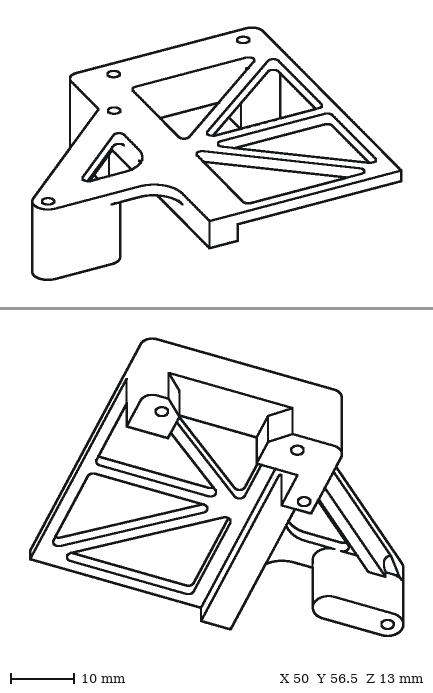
import cadquery as cq
import math

PLATE_LENGTH = 50.0
PLATE_WIDTH = 34.0
PLATE_THICKNESS = 2.0
FRONT_RAIL_DEPTH = 5.05
FRONT_RAIL_WIDTH = 5.05
CORNER_RADIUS = 2.0
HEIGHT = 13.0
TOTAL_WIDTH = 56.5
HOLE_DIAMETER = 2.0

BAR_WIDTH = 8.0
GAP_DEPTH = 7.0
GAP_FRONT = 12.0
GAP_REAR = 27.0
GAP_CHAMFER = 3.0
FOOT_LENGTH = 15.05
FOOT_FILLET = 1.5

WINDOW_FRONT = 7.4
FRAME_WIDTH = 2.0
WINDOW_REAR = PLATE_WIDTH - FRAME_WIDTH
WINDOW_CENTER = (BAR_WIDTH + PLATE_LENGTH - FRAME_WIDTH) / 2
WINDOW_RIB = 2.0
WINDOW_RADIUS = 0.9

ARM_START = 11.45
ARM_WIDTH = 5.05
ARM_RADIUS = 5.05
TIP_RADIUS = ARM_WIDTH / 2
TIP_X = 33.0
TIP_Y = PLATE_WIDTH + TIP_RADIUS - TOTAL_WIDTH
POST_LENGTH = 15.05

EDGE_INSET = 1.5
STIFFENER_WIDTH = 2.0
COVE_RADIUS = 2.0
GUSSET_SIZE = 2.0

BAR_HOLE_X = 3.0
BAR_HOLE_YS = (7.0, 30.0)
FOOT_HOLE = (13.0, 2.0)

tip_distance = math.hypot(TIP_X - ARM_START, TIP_Y)
slope_angle = math.atan2(TIP_Y, TIP_X - ARM_START) - math.asin(TIP_RADIUS / tip_distance)
slope_length = math.sqrt(tip_distance**2 - TIP_RADIUS**2)
ARM_LEFT = TIP_X - TIP_RADIUS
ARM_RIGHT = TIP_X + TIP_RADIUS


def slope_point(distance, inset):
    """Point at a distance along the sloping edge and an inset into the arm."""
    return (
        ARM_START + distance * math.cos(slope_angle) - inset * math.sin(slope_angle),
        distance * math.sin(slope_angle) + inset * math.cos(slope_angle),
    )


def slope_x_at(y, inset):
    """X where a line parallel to the sloping edge crosses the given Y."""
    return ARM_START - inset / math.sin(slope_angle) + y / math.tan(slope_angle)


def slope_y_at(x, inset):
    """Y where a line parallel to the sloping edge crosses the given X."""
    return (x - slope_x_at(0, inset)) * math.tan(slope_angle)


def block(x_min, x_max, y_min, y_max, depth):
    """Upright block hanging down from the top face."""
    return cq.Workplane("XY").box(x_max - x_min, y_max - y_min, depth, centered=False).translate(
        (x_min, y_min, -depth)
    )


def make_plate():
    plate = block(0, PLATE_LENGTH, 0, PLATE_WIDTH, PLATE_THICKNESS)
    rail = block(0, PLATE_LENGTH, 0, FRONT_RAIL_WIDTH, FRONT_RAIL_DEPTH)
    bar = block(0, BAR_WIDTH, 0, PLATE_WIDTH, HEIGHT)
    foot = block(0, FOOT_LENGTH, 0, FRONT_RAIL_WIDTH, HEIGHT)
    foot_fillet = (
        cq.Workplane("XZ")
        .moveTo(FOOT_LENGTH, -FRONT_RAIL_DEPTH)
        .lineTo(FOOT_LENGTH + FOOT_FILLET, -FRONT_RAIL_DEPTH)
        .radiusArc((FOOT_LENGTH, -FRONT_RAIL_DEPTH - FOOT_FILLET), -FOOT_FILLET)
        .close()
        .extrude(-FRONT_RAIL_WIDTH)
    )
    body = plate.union(rail).union(bar).union(foot)
    body = body.edges("|Z and <X").fillet(CORNER_RADIUS)
    return body.union(foot_fillet)


def make_gap():
    """Opening between the feet, flared at the outer left face."""
    return (
        cq.Workplane("XY")
        .workplane(offset=-HEIGHT)
        .polyline([
            (0, GAP_FRONT - GAP_CHAMFER),
            (GAP_CHAMFER, GAP_FRONT),
            (BAR_WIDTH, GAP_FRONT),
            (BAR_WIDTH, GAP_REAR),
            (GAP_CHAMFER, GAP_REAR),
            (0, GAP_REAR + GAP_CHAMFER),
        ])
        .close()
        .extrude(HEIGHT - GAP_DEPTH)
    )


def triangle_cutter(points):
    return (
        cq.Workplane("XY")
        .workplane(offset=-HEIGHT)
        .polyline(points)
        .close()
        .extrude(HEIGHT)
        .edges("|Z")
        .fillet(WINDOW_RADIUS)
    )


def make_windows():
    half_length = WINDOW_CENTER - BAR_WIDTH
    pitch = (WINDOW_REAR - WINDOW_FRONT) / half_length
    half_rib = WINDOW_RIB / 2
    shift = half_rib * math.hypot(1, pitch)
    inner_x = WINDOW_CENTER - half_rib
    rear_window = triangle_cutter([
        (inner_x, WINDOW_REAR),
        (BAR_WIDTH + shift / pitch, WINDOW_REAR),
        (inner_x, WINDOW_FRONT + shift + pitch * half_rib),
    ])
    front_window = triangle_cutter([
        (BAR_WIDTH, WINDOW_FRONT),
        (WINDOW_CENTER - shift / pitch, WINDOW_FRONT),
        (BAR_WIDTH, WINDOW_REAR - shift),
    ])
    left_pair = rear_window.union(front_window)
    return left_pair.union(left_pair.mirror("YZ", (WINDOW_CENTER, 0, 0)))


def make_arm_outline(depth):
    return (
        cq.Workplane("XY")
        .moveTo(ARM_START, 0)
        .lineTo(*slope_point(slope_length, 0))
        .threePointArc((TIP_X, TIP_Y - TIP_RADIUS), (ARM_RIGHT, TIP_Y))
        .lineTo(ARM_RIGHT, -ARM_RADIUS)
        .radiusArc((ARM_RIGHT + ARM_RADIUS, 0), ARM_RADIUS)
        .close()
        .extrude(-depth)
    )


def make_arm_window():
    corners = [
        (slope_x_at(0, ARM_WIDTH), 0),
        (ARM_LEFT, 0),
        (ARM_LEFT, slope_y_at(ARM_LEFT, ARM_WIDTH)),
    ]
    window = cq.Workplane("XY").polyline(corners).close().extrude(-FRONT_RAIL_DEPTH)
    window = window.edges("|Z and (>Y and >X)").fillet(ARM_RADIUS)
    return window.edges("|Z and (<X or <Y)").fillet(WINDOW_RADIUS)


def make_cove():
    """Cove fillet between the arm's underside and the stiffener."""
    section_plane = cq.Plane(
        origin=(*slope_point(0, EDGE_INSET), -PLATE_THICKNESS),
        xDir=(math.sin(slope_angle), -math.cos(slope_angle), 0),
        normal=(math.cos(slope_angle), math.sin(slope_angle), 0),
    )
    square = cq.Workplane(section_plane).rect(COVE_RADIUS, COVE_RADIUS, centered=False).extrude(slope_length)
    hollow = (
        cq.Workplane(section_plane)
        .center(COVE_RADIUS, COVE_RADIUS)
        .circle(COVE_RADIUS)
        .extrude(slope_length)
    )
    return square.cut(hollow)


def make_post_gusset():
    """Thicker arm beside the post, with a sloping face on the left."""
    bottom = -PLATE_THICKNESS - GUSSET_SIZE
    gusset_start = ARM_LEFT - GUSSET_SIZE
    rear = slope_y_at(gusset_start, EDGE_INSET)
    return (
        cq.Workplane("XZ", origin=(0, rear, 0))
        .polyline([
            (gusset_start, -PLATE_THICKNESS),
            (ARM_LEFT, bottom),
            (TIP_X, bottom),
            (TIP_X, -PLATE_THICKNESS),
        ])
        .close()
        .extrude(rear - TIP_Y + TIP_RADIUS)
    )


def make_arm():
    stiffener = (
        cq.Workplane("XY")
        .polyline([
            (slope_x_at(0, EDGE_INSET), 0),
            (ARM_LEFT, slope_y_at(ARM_LEFT, EDGE_INSET)),
            (ARM_LEFT, slope_y_at(ARM_LEFT, EDGE_INSET + STIFFENER_WIDTH)),
            (slope_x_at(0, EDGE_INSET + STIFFENER_WIDTH), 0),
        ])
        .close()
        .extrude(-FRONT_RAIL_DEPTH)
    )
    post = (
        cq.Workplane("XY")
        .center(TIP_X, TIP_Y - TIP_RADIUS + POST_LENGTH / 2)
        .slot2D(POST_LENGTH, ARM_WIDTH, 90)
        .extrude(-HEIGHT)
    )
    supports = make_cove().union(make_post_gusset()).intersect(make_arm_outline(HEIGHT))
    return make_arm_outline(PLATE_THICKNESS).union(stiffener).union(post).union(supports)


hole_points = [(BAR_HOLE_X, y) for y in BAR_HOLE_YS] + [FOOT_HOLE, (TIP_X, TIP_Y)]
holes = cq.Workplane("XY").pushPoints(hole_points).circle(HOLE_DIAMETER / 2).extrude(-HEIGHT)

body = make_plate().cut(make_gap()).cut(make_windows())
result = body.union(make_arm().cut(make_arm_window())).cut(holes)